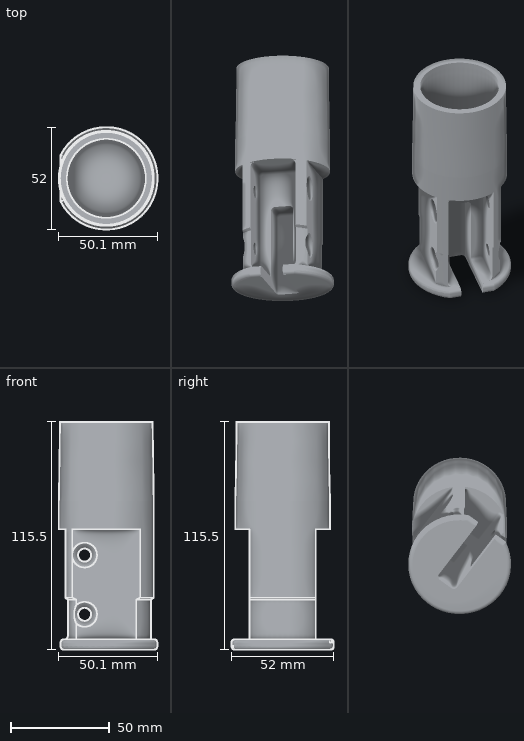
import cadquery as cq
import math

flange_height = 5.5
body_height = 55.5
collar_height = 14.5
taper_height = 40.0
body_top = flange_height + body_height
collar_top = body_top + collar_height
part_top = collar_top + taper_height
step_top = 26.5
step_bottom = 25.5

flange_radius = 26.0
foot_radius = 22.7
collar_radius = 24.1
rim_radius = 23.5
bore_radius = 20.0
bore_depth = taper_height

flange_flat_x = -23.25
flange_fillet = 2.0
body_width = 33.6

lip_width = 24.0
lip_floor_x = -20.5
pocket_width = 23.3
pocket_floor_x = -1.0
slot_width = 11.5
slot_floor_x = 12.0
slot_top = 42.5
pocket_fillet = 2.0

hole_x = -11.0
hole_heights = (18.0, 48.0)
hole_diameter = 6.5
countersink_diameter = 12.6
countersink_angle = 90.0
countersink_depth = (
    (countersink_diameter - hole_diameter) / 2 / math.tan(math.radians(countersink_angle / 2))
)


def flange():
    """Round flange with a flat on the -X side and rounded rims."""
    disc = cq.Workplane("XY").circle(flange_radius).extrude(flange_height)
    length = flange_radius - flange_flat_x
    keep = cq.Workplane("XY").box(length, 2 * flange_radius, flange_height, centered=(False, True, False))
    disc = disc.intersect(keep.translate((flange_flat_x, 0, 0)))
    return disc.faces("<Z or >Z").edges().fillet(flange_fillet)


def tube():
    """Stepped column with a collar and a tapered top, its blind bore open upwards."""
    profile = (
        cq.Workplane("XZ")
        .lineTo(-foot_radius, 0)
        .lineTo(-foot_radius, step_bottom)
        .lineTo(-collar_radius, step_top)
        .lineTo(-collar_radius, collar_top)
        .lineTo(-rim_radius, part_top)
        .lineTo(0, part_top)
        .close()
    )
    column = profile.revolve(360, (0, 0), (0, 1))
    bore = cq.Workplane("XY").workplane(offset=part_top - bore_depth).circle(bore_radius).extrude(bore_depth)
    return column.cut(bore)


def side_flats():
    """Cutter for the parallel -Y and +Y flats below the collar."""
    outside = cq.Workplane("XY").circle(2 * collar_radius).extrude(body_top)
    slab = cq.Workplane("XY").box(4 * collar_radius, body_width, body_top, centered=(True, True, False))
    return outside.cut(slab)


def lip_opening():
    """Square-cornered cutter that widens the pocket mouth in the thicker upper wall."""
    length = collar_radius + lip_floor_x
    height = body_top - step_bottom
    block = cq.Workplane("XY").box(length, lip_width, height, centered=(False, True, False))
    return block.translate((-collar_radius, 0, step_bottom))


def recess(width, bottom, top, floor_x):
    """Cutter open towards -X, with rounded floor edges and corners."""
    length = floor_x + 2 * flange_radius
    block = cq.Workplane("XY").box(length, width, top - bottom, centered=(False, True, False))
    block = block.translate((-2 * flange_radius, 0, bottom))
    return block.edges("|X or >X").fillet(pocket_fillet)


def countersunk_hole(side, height):
    """Cutter for one hole through the side wall at -Y (side -1) or +Y (side +1)."""
    face = cq.Plane(origin=(hole_x, side * body_width / 2, height), xDir=(0, 0, -1), normal=(0, -side, 0))
    shank = cq.Workplane(face).circle(hole_diameter / 2).extrude(body_width / 2)
    head = cq.Workplane(face).circle(countersink_diameter / 2)
    return shank.union(head.extrude(countersink_depth, taper=countersink_angle / 2))


result = tube().cut(side_flats()).union(flange())
result = result.cut(lip_opening())
result = result.cut(recess(pocket_width, flange_height, body_top, pocket_floor_x))
result = result.cut(recess(slot_width, -slot_top, slot_top, slot_floor_x))
for hole_height in hole_heights:
    for wall_side in (-1, 1):
        result = result.cut(countersunk_hole(wall_side, hole_height))